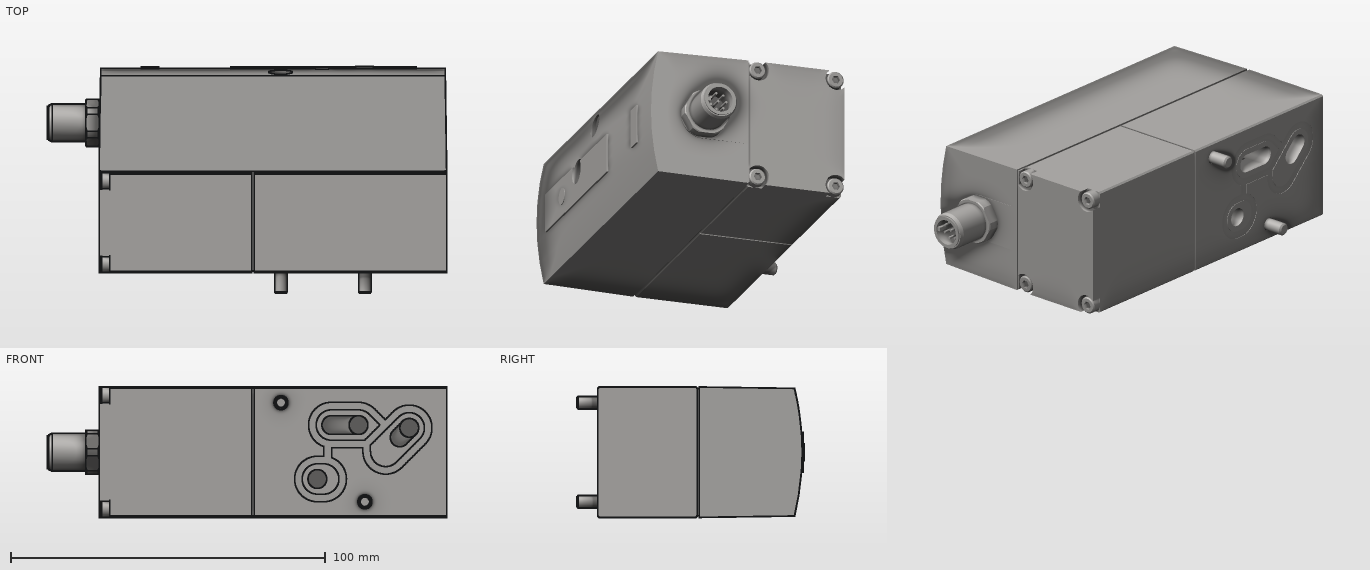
import cadquery as cq
import math

overall_length = 126.9
connector_length = 16.5
body_length = overall_length - connector_length
body_height = 41.5
half_height = body_height / 2
split_y = 31.7
edge_chamfer = 0.5

split_joint_width = 0.5
block_joint_width = 0.8
joint_depth = 0.5
block_joint_x = 65.4

back_edge_y = 62.5
back_peak_y = 65.0
draft_inset = 0.45
back_half_height = half_height - draft_inset

plug_y = 47.6
barrel_d = 12.0
lip_d = 10.4
lip_length = 0.5
barrel_start = 1.6
barrel_chamfer_d = 11.0
bore_d = 8.2
bore_depth = 8.2
key_width = 1.3
key_inner_r = 3.0
contact_d = 0.8
contact_circle_r = 5.5 / 2
contact_count = 7
contact_tip_x = 2.0
nut_length = 4.2
nut_flats = 14.1
nut_round_d = 15.1
nut_chamfer = 0.32
pad_width = 15.0

screw_pocket_d = 7.2
screw_pocket_depth = 3.4
screw_head_d = 5.5
screw_inset = screw_head_d / 2
screw_head_recess = 0.4
screw_head_chamfer = 0.4
screw_socket_width = 2.8
screw_socket_depth = 1.3

pin_d = 4.0
pin_length = 6.6
pin_chamfer = 0.5
pin_hole_d = 4.5
pin_hole_depth = 0.6
pin_places = [(74.2, 15.7), (100.9, -15.7)]

port_d = 6.0
port_depth = 11.4
port_slot_depth = 7.6
seal_inner_r = 4.8
seal_width = 2.4
seal_outer_r = seal_inner_r + seal_width
seal_depth = 0.1
supply_x, supply_z = 85.8, -8.5
supply_seal_shift = 2.0
level_start_x, level_end_x, level_z = 90.2, 98.9, 8.6
slant_x, slant_z = 115.0, 7.7
slant_port_shift = 3.0
slant_seal_shift = 7.5
bridge_x = 89.1

strip_top_y = 65.4
strip_half_height = 6.3
strip_spans = [(30.0, 35.4), (58.2, 117.1)]
boss_x, boss_d, boss_top_y = 100.8, 5.5, 65.6
recess_floor_y = 62.2
back_recesses = [(74.1, 14.8, 7.5), (87.3, 3.8, 8.2)]


def box(x_range, y_range, z_range):
    """Box between pairs of X, Y and Z limits."""
    sizes = [high - low for low, high in (x_range, y_range, z_range)]
    corner = (x_range[0], y_range[0], z_range[0])
    return cq.Workplane("XY").box(*sizes, centered=False).translate(corner)


def along_x(x, y, z, diameter, length):
    """Cylinder starting at x and running toward +X."""
    plane = cq.Plane(origin=(x, y, z), xDir=(0, 1, 0), normal=(1, 0, 0))
    return cq.Workplane(plane).circle(diameter / 2).extrude(length)


def port_face():
    """Sketch plane on Y = 0 with X and Z axes; positive extrusion goes out toward -Y."""
    return cq.Workplane("XZ")


def front_blocks():
    full = box((connector_length, overall_length), (0, split_y), (-half_height, half_height))
    return full.edges("|X").chamfer(edge_chamfer)


def rear_housing():
    depth = back_peak_y - split_y
    draft_angle = math.degrees(math.atan(draft_inset / (back_edge_y - split_y)))
    base = cq.Plane(origin=(connector_length + body_length / 2, split_y, 0), xDir=(1, 0, 0), normal=(0, 1, 0))
    drafted = cq.Workplane(base).rect(body_length, body_height).extrude(depth, taper=draft_angle)
    bow = (
        cq.Workplane("YZ")
        .moveTo(split_y, -half_height)
        .lineTo(back_edge_y, -half_height)
        .lineTo(back_edge_y, -back_half_height)
        .threePointArc((back_peak_y, 0), (back_edge_y, back_half_height))
        .lineTo(back_edge_y, half_height)
        .lineTo(split_y, half_height)
        .close()
        .extrude(overall_length)
    )
    return drafted.intersect(bow)


def ring_groove(x_range, y_range, inner_x, inner_y):
    """Stock between outer limits, leaving the core between the inner limits."""
    core_half = half_height - joint_depth
    outer = box(x_range, y_range, (-half_height, half_height))
    return outer.cut(box(inner_x, inner_y, (-core_half, core_half)))


def joint_grooves():
    split_range = (split_y, split_y + split_joint_width)
    full_x = (connector_length, overall_length)
    core_x = (connector_length + joint_depth, overall_length - joint_depth)
    long_joint = ring_groove(full_x, split_range, core_x, split_range)
    half = block_joint_width / 2
    block_range = (block_joint_x - half, block_joint_x + half)
    cross_joint = ring_groove(block_range, (0, split_y), block_range, (joint_depth, split_y))
    return long_joint.union(cross_joint)


def connector_pad():
    """Upright round-ended pad that levels the drafted end face under the nut."""
    thickness = 2 * draft_inset
    round_end = along_x(connector_length, plug_y, 0, pad_width, thickness)
    x_range = (connector_length, connector_length + thickness)
    half = pad_width / 2
    return round_end.union(box(x_range, (split_y + split_joint_width, plug_y), (-half, half)))


def connector():
    barrel = (
        cq.Workplane("XY")
        .polyline([
            (0, 0),
            (0, lip_d / 2),
            (lip_length, lip_d / 2),
            (lip_length, barrel_chamfer_d / 2),
            (barrel_start, barrel_d / 2),
            (connector_length, barrel_d / 2),
            (connector_length, 0),
        ])
        .close()
        .revolve(360, (0, 0, 0), (1, 0, 0))
        .translate((0, plug_y, 0))
    )
    nut_x = connector_length - nut_length
    hexagon = (
        cq.Workplane("YZ")
        .polygon(6, nut_flats / math.cos(math.pi / 6))
        .extrude(nut_length)
        .translate((nut_x, plug_y, 0))
    )
    nut_round = along_x(nut_x, plug_y, 0, nut_round_d, nut_length).edges().chamfer(nut_chamfer)
    plug = barrel.union(hexagon.intersect(nut_round))
    plug = plug.cut(along_x(0, plug_y, 0, bore_d, bore_depth))

    key_y = (plug_y + key_inner_r, plug_y + (bore_d + lip_d) / 4)
    plug = plug.union(box((lip_length, bore_depth), key_y, (-key_width / 2, key_width / 2)))

    contact_places = [(plug_y, 0)]
    for index in range(contact_count):
        angle = 2 * math.pi * index / contact_count
        contact_places.append((
            plug_y - contact_circle_r * math.cos(angle),
            contact_circle_r * math.sin(angle),
        ))
    contact_length = connector_length - contact_tip_x
    for y, z in contact_places:
        plug = plug.union(along_x(contact_tip_x, y, z, contact_d, contact_length))
    return plug


def add_cover_screws(body):
    face_x = connector_length
    floor_x = face_x + screw_pocket_depth
    for y in (screw_inset, split_y - screw_inset):
        for z in (half_height - screw_inset, screw_inset - half_height):
            pocket = along_x(face_x, y, z, screw_pocket_d, screw_pocket_depth)
            pocket = pocket.intersect(box((face_x, floor_x), (0, split_y), (-half_height, half_height)))
            head_x = face_x + screw_head_recess
            head = along_x(head_x, y, z, screw_head_d, floor_x - head_x)
            head = head.faces("<X").chamfer(screw_head_chamfer)
            socket = (
                cq.Workplane("YZ")
                .polygon(6, screw_socket_width)
                .extrude(screw_socket_depth)
                .translate((head_x, y, z))
            )
            body = body.cut(pocket).union(head.cut(socket))
    return body


def level_outline(radius, slant_gap):
    """Level passage outline: round left end, pointed right end at slant_gap from the slant axis."""
    limit = slant_x - slant_z - slant_gap * math.sqrt(2)
    diagonal = radius / math.sqrt(2)
    arc_middle = math.radians(67.5)
    crest = level_end_x + level_z + radius * math.sqrt(2)
    tip = ((crest + limit) / 2, (crest - limit) / 2)
    return (
        port_face()
        .moveTo(level_start_x, level_z - radius)
        .threePointArc((level_start_x - radius, level_z), (level_start_x, level_z + radius))
        .lineTo(level_end_x, level_z + radius)
        .threePointArc(
            (level_end_x + radius * math.cos(arc_middle), level_z + radius * math.sin(arc_middle)),
            (level_end_x + diagonal, level_z + diagonal),
        )
        .lineTo(*tip)
        .lineTo(limit + level_z - radius, level_z - radius)
        .close()
    )


def slant_outline(radius):
    """45 degree passage outline, with an upright left side at its lower end."""
    low_x = slant_x - slant_seal_shift
    low_z = slant_z - slant_seal_shift
    diagonal = radius / math.sqrt(2)
    lower_arc = math.radians(-112.5)
    return (
        port_face()
        .moveTo(low_x - radius, low_z)
        .threePointArc(
            (low_x + radius * math.cos(lower_arc), low_z + radius * math.sin(lower_arc)),
            (low_x + diagonal, low_z - diagonal),
        )
        .lineTo(slant_x + diagonal, slant_z - diagonal)
        .threePointArc((slant_x + diagonal, slant_z + diagonal), (slant_x - diagonal, slant_z + diagonal))
        .lineTo(low_x - radius, low_z + radius * (math.sqrt(2) - 1))
        .close()
    )


def supply_outline(radius):
    center_x = supply_x + supply_seal_shift / 2
    return port_face().center(center_x, supply_z).slot2D(supply_seal_shift + 2 * radius, 2 * radius)


def seal_recess():
    """Shallow band of constant width that runs around the three passages."""
    bridge_half = seal_width / 2
    bridge = box((bridge_x - bridge_half, bridge_x + bridge_half), (0, seal_depth), (supply_z, level_z))
    band = (
        level_outline(seal_outer_r, 0).extrude(-seal_depth)
        .union(slant_outline(seal_outer_r).extrude(-seal_depth))
        .union(supply_outline(seal_outer_r).extrude(-seal_depth))
        .union(bridge)
    )
    return (
        band
        .cut(level_outline(seal_inner_r, seal_outer_r).extrude(-seal_depth))
        .cut(slant_outline(seal_inner_r).extrude(-seal_depth))
        .cut(supply_outline(seal_inner_r).extrude(-seal_depth))
    )


def ports():
    """Three round ports; two of them open into shallower slots."""
    holes = (
        port_face()
        .pushPoints([(supply_x, supply_z), (level_end_x, level_z), (slant_x, slant_z)])
        .circle(port_d / 2)
        .extrude(-port_depth)
    )
    level_travel = level_end_x - level_start_x
    level_slot = (
        port_face()
        .center((level_start_x + level_end_x) / 2, level_z)
        .slot2D(level_travel + port_d, port_d)
        .extrude(-port_slot_depth)
    )
    slant_travel = slant_port_shift * math.sqrt(2)
    slant_slot = (
        port_face()
        .center(slant_x - slant_port_shift / 2, slant_z - slant_port_shift / 2)
        .slot2D(slant_travel + port_d, port_d, 45)
        .extrude(-port_slot_depth)
    )
    return holes.union(level_slot).union(slant_slot)


def add_locating_pins(body):
    holes = port_face().pushPoints(pin_places).circle(pin_hole_d / 2).extrude(-pin_hole_depth)
    pins = (
        port_face()
        .workplane(offset=-pin_hole_depth)
        .pushPoints(pin_places)
        .circle(pin_d / 2)
        .extrude(pin_hole_depth + pin_length)
        .faces("<Y")
        .chamfer(pin_chamfer)
    )
    return body.cut(holes).union(pins)


def add_back_features(body):
    """Low strips and a round boss stand on the bowed back; round recesses are sunk into it."""
    for x_range in strip_spans:
        strip_z = (-strip_half_height, strip_half_height)
        body = body.union(box(x_range, (recess_floor_y, strip_top_y), strip_z))
    floor = port_face().workplane(offset=-recess_floor_y)
    boss = floor.center(boss_x, 0).circle(boss_d / 2).extrude(recess_floor_y - boss_top_y)
    body = body.union(boss)
    for x, z, diameter in back_recesses:
        recess = floor.moveTo(x, z).circle(diameter / 2).extrude(recess_floor_y - boss_top_y)
        body = body.cut(recess)
    return body


result = front_blocks().union(rear_housing())
result = add_back_features(result)
result = result.cut(joint_grooves())
result = result.union(connector_pad()).union(connector())
result = add_cover_screws(result)
result = result.cut(seal_recess()).cut(ports())
result = add_locating_pins(result)